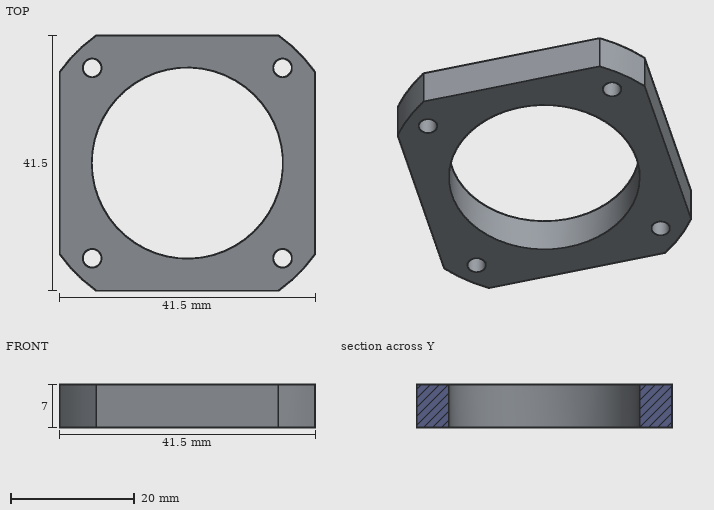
import cadquery as cq

plate_side = 41.5
plate_thickness = 7.0
corner_circle_diameter = 50.95
bore_diameter = 31.0
screw_hole_diameter = 3.0
screw_hole_spacing = 30.9


def plate_body():
    """Square plate whose corners are rounded by one large centred circle."""
    square = cq.Workplane("XY").rect(plate_side, plate_side).extrude(plate_thickness)
    disc = cq.Workplane("XY").circle(corner_circle_diameter / 2).extrude(plate_thickness)
    return square.intersect(disc)


def cut_bore(body):
    """Central through bore."""
    return body.faces(">Z").workplane(origin=(0, 0, 0)).hole(bore_diameter)


def cut_screw_holes(body):
    """Four through holes on a square pattern, one near each corner."""
    return (
        body.faces(">Z")
        .workplane(origin=(0, 0, 0))
        .rect(screw_hole_spacing, screw_hole_spacing, forConstruction=True)
        .vertices()
        .hole(screw_hole_diameter)
    )


result = cut_screw_holes(cut_bore(plate_body()))